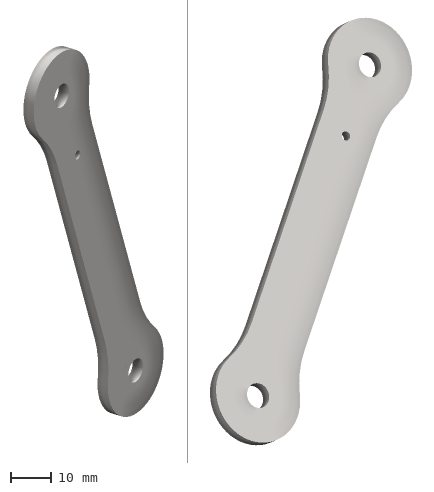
import cadquery as cq
import math

thickness = 3.2
overall_width = 55.9
overall_height = 112.7

end_diameter = 24.0
end_radius = end_diameter / 2
arm_width = 16.0
blend_radius = 25.0
pivot_hole_diameter = 6.3
small_hole_diameter = 2.4
small_hole_offset = 20.3

pivot_span_y = overall_width - end_diameter
pivot_span_z = overall_height - end_diameter
pivot_distance = math.hypot(pivot_span_y, pivot_span_z)
lean_angle = math.degrees(math.atan2(pivot_span_y, pivot_span_z))
half_span = pivot_distance / 2

half_arm = arm_width / 2
blend_center_side = half_arm + blend_radius
blend_reach = math.sqrt((end_radius + blend_radius) ** 2 - blend_center_side**2)
disc_share = end_radius / (end_radius + blend_radius)
disc_tangent_side = blend_center_side * disc_share
disc_tangent_reach = blend_reach * disc_share

half_blend_angle = math.atan2(blend_reach, blend_center_side) / 2
blend_mid_side = blend_center_side - blend_radius * math.cos(half_blend_angle)
blend_mid_reach = blend_reach - blend_radius * math.sin(half_blend_angle)


def link_outline():
    """Upright link centred on the origin: two round ends blended into a straight arm."""
    arm_end = half_span - blend_reach
    blend_mid = half_span - blend_mid_reach
    disc_start = half_span - disc_tangent_reach
    tip = half_span + end_radius
    return (
        cq.Workplane("YZ")
        .moveTo(half_arm, -arm_end)
        .lineTo(half_arm, arm_end)
        .threePointArc((blend_mid_side, blend_mid), (disc_tangent_side, disc_start))
        .threePointArc((0, tip), (-disc_tangent_side, disc_start))
        .threePointArc((-blend_mid_side, blend_mid), (-half_arm, arm_end))
        .lineTo(-half_arm, -arm_end)
        .threePointArc((-blend_mid_side, -blend_mid), (-disc_tangent_side, -disc_start))
        .threePointArc((0, -tip), (disc_tangent_side, -disc_start))
        .threePointArc((blend_mid_side, -blend_mid), (half_arm, -arm_end))
        .close()
    )


def through_holes(diameter, heights):
    """Cutters along X on the link's centre line."""
    centers = [(0, height) for height in heights]
    return cq.Workplane("YZ").pushPoints(centers).circle(diameter / 2).extrude(thickness / 2, both=True)


link = link_outline().extrude(thickness / 2, both=True)
link = link.cut(through_holes(pivot_hole_diameter, [-half_span, half_span]))
link = link.cut(through_holes(small_hole_diameter, [half_span - small_hole_offset]))

result = link.rotate((0, 0, 0), (1, 0, 0), lean_angle)